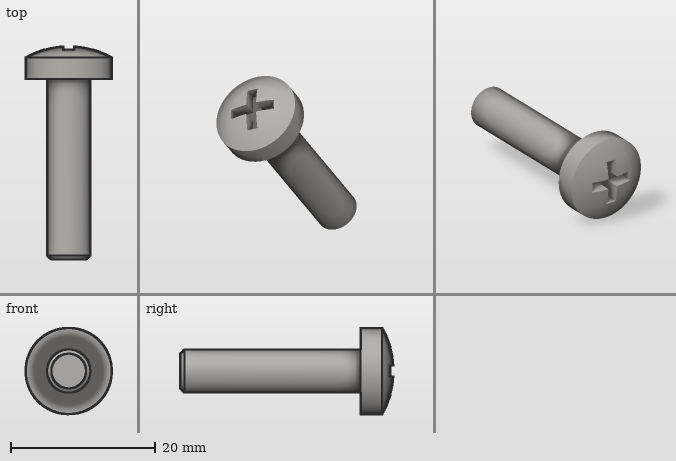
import cadquery as cq
import math

overall_length = 29.53
head_diameter = 12.0
shank_diameter = head_diameter / 2
head_side_height = 2.98
dome_rise = 1.6
tip_chamfer = 0.6

recess_arm_width = 1.5
recess_span = 6.5
recess_depth = 2.35

head_radius = head_diameter / 2
shank_radius = shank_diameter / 2
dome_radius = (head_radius**2 + dome_rise**2) / (2 * dome_rise)


def dome_drop(radius):
    """Fall of the dome below its apex at a given distance from the axis."""
    return dome_radius - math.sqrt(dome_radius**2 - radius**2)


inner_corner_radius = recess_arm_width / math.sqrt(2)
apex_y = overall_length + dome_drop(inner_corner_radius)
dome_base_y = apex_y - dome_rise
head_underside_y = dome_base_y - head_side_height


def screw_body():
    """Shank, chamfered tip and domed head, revolved about the Y axis."""
    mid_radius = head_radius / 2
    return (
        cq.Workplane("XY")
        .lineTo(shank_radius - tip_chamfer, 0)
        .lineTo(shank_radius, tip_chamfer)
        .lineTo(shank_radius, head_underside_y)
        .lineTo(head_radius, head_underside_y)
        .lineTo(head_radius, dome_base_y)
        .threePointArc((mid_radius, apex_y - dome_drop(mid_radius)), (0, apex_y))
        .close()
        .revolve(360, (0, 0, 0), (0, 1, 0))
    )


def cross_recess():
    """Two crossing bars reaching down from the dome apex."""
    center = (0, apex_y - recess_depth / 2, 0)
    bar_x = cq.Workplane("XY").box(recess_span, recess_depth, recess_arm_width)
    bar_z = cq.Workplane("XY").box(recess_arm_width, recess_depth, recess_span)
    return bar_x.union(bar_z).translate(center)


result = screw_body().cut(cross_recess())